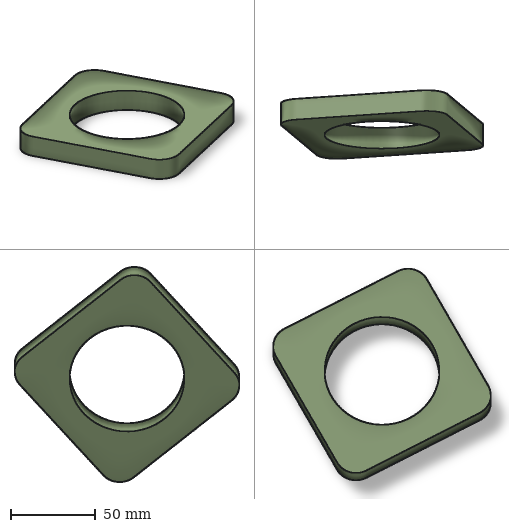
import cadquery as cq

side_length = 101.6
thickness = 12.7
corner_radius = 12.7
bore_diameter = 67.82


def rounded_plate():
    """Square plate resting on Z = 0 with its four upright edges rounded."""
    plate = cq.Workplane("XY").box(side_length, side_length, thickness, centered=(True, True, False))
    return plate.edges("|Z").fillet(corner_radius)


def cut_bore(plate):
    """Cut the central round opening through the full thickness."""
    return plate.faces(">Z").workplane(origin=(0, 0, thickness)).hole(bore_diameter)


result = cut_bore(rounded_plate())